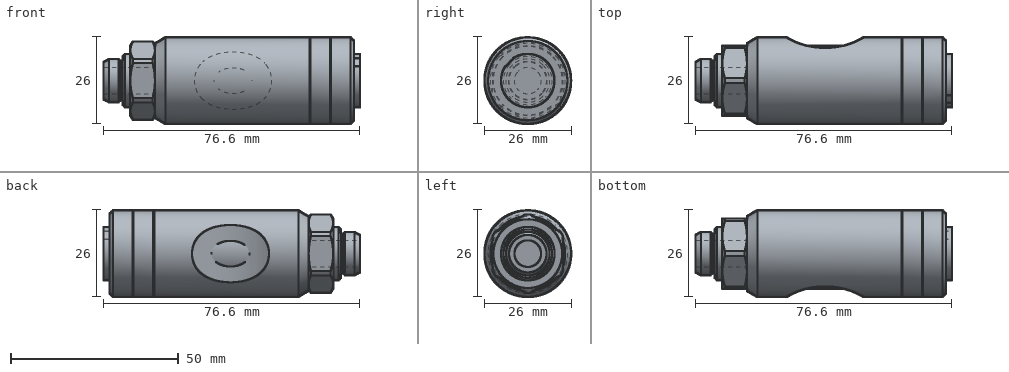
import cadquery as cq
import math

TOTAL_LENGTH = 76.6
TIP_CHAMFER_END = 1.7
THREAD_END = 4.45
NECK_START = 5.1
COLLAR_START = 5.75
COLLAR_CHAMFER_END = 6.5
HEX_START = 7.9
BODY_START = 15.4
BODY_CONE_END = 18.45
BODY_END = 74.8

BORE_RADIUS = 8.0 / 2
TIP_RADIUS = 11.2 / 2
THREAD_RADIUS = 13.0 / 2
NECK_RADIUS = 11.6 / 2
NECK_FILLET = COLLAR_START - NECK_START
COLLAR_RADIUS = 16.0 / 2
COLLAR_CHAMFER = COLLAR_CHAMFER_END - COLLAR_START
BORE_DEPTH = 15.3

HEX_ACROSS_FLATS = 21.0
HEX_CORNER_RADIUS = 11.7
HEX_FRONT_RADIUS = 10.3
HEX_FRONT_CHAMFER = 0.9
HEX_BACK_RADIUS = 10.4
HEX_BACK_CHAMFER = 0.7

BODY_RADIUS = 26.0 / 2
BODY_NOSE_RADIUS = 11.2
BODY_END_CHAMFER = 1.15
GROOVE_STATIONS = (61.6, 67.8)
GROOVE_WIDTH = 0.3
GROOVE_DEPTH = 0.2

CORE_RADIUS = 10.5
SCALLOP_CENTRE = 38.7
SCALLOP_RADIUS = 22.1
SCALLOP_DEPTH = 3.2

PLUG_RADIUS = 16.0 / 2
PLUG_RIM_LENGTH = 0.3
PLUG_RIM_DROP = 0.1
KEYWAY_WIDTH = 3.3
KEYWAY_FLOOR = 7.65
KEYWAY_ANGLE = 45.0


def revolve_about_x(profile):
    return profile.close().revolve(360, (0, 0, 0), (1, 0, 0))


def cylinder_along_x(radius, start, end):
    return cq.Workplane("YZ", origin=(start, 0, 0)).circle(radius).extrude(end - start)


def make_spigot():
    fillet_reach = NECK_FILLET * math.sin(math.radians(45))
    profile = (
        cq.Workplane("XY")
        .moveTo(0, 0)
        .lineTo(0, TIP_RADIUS)
        .lineTo(TIP_CHAMFER_END, THREAD_RADIUS)
        .lineTo(THREAD_END, THREAD_RADIUS)
        .lineTo(NECK_START, NECK_RADIUS)
        .threePointArc(
            (NECK_START + fillet_reach, NECK_RADIUS + NECK_FILLET - fillet_reach),
            (COLLAR_START, NECK_RADIUS + NECK_FILLET),
        )
        .lineTo(COLLAR_START, COLLAR_RADIUS - COLLAR_CHAMFER)
        .lineTo(COLLAR_CHAMFER_END, COLLAR_RADIUS)
        .lineTo(HEX_START, COLLAR_RADIUS)
        .lineTo(HEX_START, 0)
    )
    return revolve_about_x(profile)


def make_hex_nut():
    corner_diameter = HEX_ACROSS_FLATS / math.cos(math.radians(30))
    prism = (
        cq.Workplane("YZ", origin=(HEX_START, 0, 0))
        .transformed(rotate=(0, 0, 90))
        .polygon(6, corner_diameter)
        .extrude(BODY_START - HEX_START)
    )
    turned_blank = revolve_about_x(
        cq.Workplane("XY")
        .moveTo(HEX_START, 0)
        .lineTo(HEX_START, HEX_FRONT_RADIUS)
        .lineTo(HEX_START + HEX_FRONT_CHAMFER, HEX_CORNER_RADIUS)
        .lineTo(BODY_START - HEX_BACK_CHAMFER, HEX_CORNER_RADIUS)
        .lineTo(BODY_START, HEX_BACK_RADIUS)
        .lineTo(BODY_START, 0)
    )
    return prism.intersect(turned_blank)


def make_body():
    body = revolve_about_x(
        cq.Workplane("XY")
        .moveTo(BODY_START, 0)
        .lineTo(BODY_START, BODY_NOSE_RADIUS)
        .lineTo(BODY_CONE_END, BODY_RADIUS)
        .lineTo(BODY_END - BODY_END_CHAMFER, BODY_RADIUS)
        .lineTo(BODY_END, BODY_RADIUS - BODY_END_CHAMFER)
        .lineTo(BODY_END, 0)
    )
    for station in GROOVE_STATIONS:
        start = station - GROOVE_WIDTH / 2
        end = station + GROOVE_WIDTH / 2
        ring = cylinder_along_x(BODY_RADIUS, start, end)
        ring = ring.cut(cylinder_along_x(BODY_RADIUS - GROOVE_DEPTH, start, end))
        body = body.cut(ring)
    return body.cut(make_scallop_cutter())


def make_scallop_cutter():
    centre_y = BODY_RADIUS - SCALLOP_DEPTH + SCALLOP_RADIUS
    cutter = (
        cq.Workplane("XY")
        .center(SCALLOP_CENTRE, centre_y)
        .circle(SCALLOP_RADIUS)
        .extrude(BODY_RADIUS, both=True)
    )
    return cutter.cut(cylinder_along_x(CORE_RADIUS, BODY_START, BODY_END))


def make_plug():
    rim_start = TOTAL_LENGTH - PLUG_RIM_LENGTH
    plug = revolve_about_x(
        cq.Workplane("XY")
        .moveTo(BODY_END, 0)
        .lineTo(BODY_END, PLUG_RADIUS)
        .lineTo(rim_start, PLUG_RADIUS)
        .lineTo(TOTAL_LENGTH, PLUG_RADIUS - PLUG_RIM_DROP)
        .lineTo(TOTAL_LENGTH, 0)
    )
    keyway = (
        cq.Workplane("XY")
        .box(TOTAL_LENGTH - BODY_END, KEYWAY_WIDTH, PLUG_RADIUS, centered=(False, True, False))
        .translate((BODY_END, 0, KEYWAY_FLOOR))
        .rotate((0, 0, 0), (1, 0, 0), KEYWAY_ANGLE)
    )
    return plug.cut(keyway)


bore = cylinder_along_x(BORE_RADIUS, 0, BORE_DEPTH)
result = make_spigot().union(make_hex_nut()).union(make_body()).union(make_plug()).cut(bore)